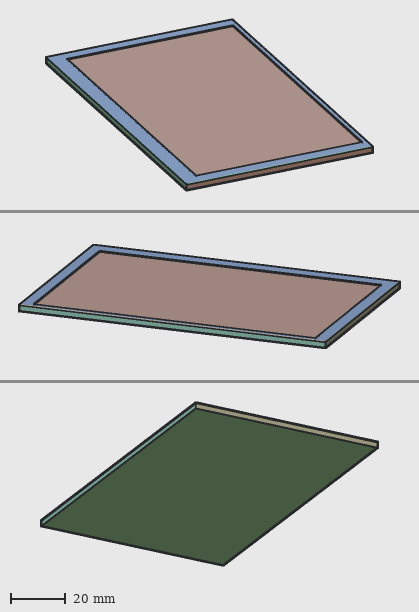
import cadquery as cq

length = 120.7
width = 75.8
thickness = 2.8
edge_radius = 0.4

wall_thickness = 0.2
floor_thickness = 0.2
bezel_thickness = 0.5

side_border = 5.0
back_border = 2.2
front_border = 6.3
window_length = length - 2 * side_border
window_width = width - back_border - front_border
window_center_y = (front_border - back_border) / 2

panel_length = length - 2 * wall_thickness
panel_width = width - 2 * wall_thickness
panel_thickness = thickness - floor_thickness - bezel_thickness


def block(size_x, size_y, height, bottom_z=0, center_y=0):
    """Rectangular block, centred in X, standing on the plane at bottom_z."""
    return (
        cq.Workplane("XY", origin=(0, center_y, bottom_z))
        .rect(size_x, size_y)
        .extrude(height)
    )


def make_panel():
    """Flat display panel enclosed by the housing."""
    return block(panel_length, panel_width, panel_thickness, floor_thickness)


def make_housing():
    """Thin shell with a rounded upper edge and a window onto the panel."""
    shell = block(length, width, thickness)
    shell = shell.faces(">Z").edges().fillet(edge_radius)
    shell = shell.cut(make_panel())
    bezel_bottom_z = thickness - bezel_thickness
    window = block(window_length, window_width, bezel_thickness, bezel_bottom_z, window_center_y)
    return shell.cut(window)


panel = make_panel()
housing = make_housing()

result = cq.Compound.makeCompound([housing.val(), panel.val()])